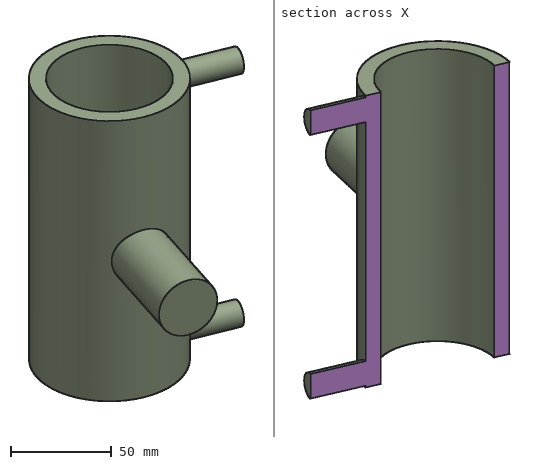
import cadquery as cq

tube_height = 164.0
tube_outer_diameter = 80.0
tube_bore_diameter = 63.0

branch_diameter = 32.0
branch_reach = 92.0

pin_diameter = 14.1
pin_reach = 70.5
pin_end_offset = 8.0


def cylinder_from_axis(diameter, reach, height, direction):
    """Solid round bar starting on the tube axis at the given height."""
    return cq.Workplane(
        obj=cq.Solid.makeCylinder(diameter / 2, reach, cq.Vector(0, 0, height), cq.Vector(*direction))
    )


tube_body = cq.Workplane("XY").circle(tube_outer_diameter / 2).extrude(tube_height)
tube_bore = cq.Workplane("XY").circle(tube_bore_diameter / 2).extrude(tube_height)

result = tube_body.union(cylinder_from_axis(branch_diameter, branch_reach, tube_height / 2, (1, 0, 0)))

for pin_height in (pin_end_offset, tube_height - pin_end_offset):
    result = result.union(cylinder_from_axis(pin_diameter, pin_reach, pin_height, (0, 1, 0)))

result = result.cut(tube_bore)